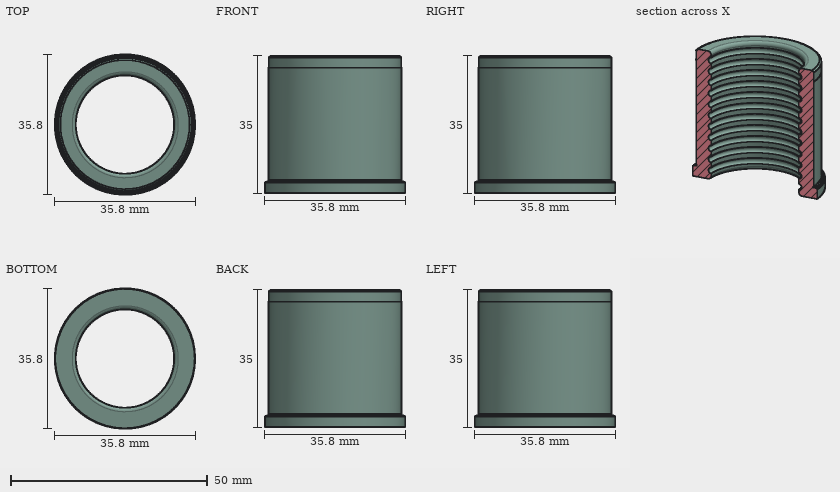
import cadquery as cq

height = 35.0
collar_radius = 17.9
collar_height = 3.0
collar_chamfer = 0.3
collar_base_chamfer = 0.18
body_radius = 16.97
lead_radius = 16.95
lead_height = 3.0
lead_chamfer = 0.5
undercut_depth = 0.32
undercut_height = 0.43
seat_radius = 17.33
seat_rise = 0.07
bore_radius = 12.5
mouth_round = 1.0
groove_count = 11
groove_pitch = 3.0
groove_radius = 0.8


def outer_body():
    """Revolve the stepped outside as a solid without its bore."""
    undercut_radius = body_radius - undercut_depth
    profile = (
        cq.Workplane("XZ")
        .lineTo(collar_radius - collar_base_chamfer, 0)
        .lineTo(collar_radius, collar_base_chamfer)
        .lineTo(collar_radius, collar_height - collar_chamfer)
        .lineTo(collar_radius - collar_chamfer, collar_height)
        .lineTo(seat_radius, collar_height)
        .lineTo(seat_radius, collar_height + seat_rise)
        .lineTo(undercut_radius, collar_height + seat_rise)
        .lineTo(body_radius, collar_height + undercut_height)
        .lineTo(body_radius, height - lead_height)
        .lineTo(lead_radius, height - lead_height)
        .lineTo(lead_radius, height - lead_chamfer)
        .lineTo(lead_radius - lead_chamfer, height)
        .lineTo(0, height)
        .close()
    )
    return profile.revolve(360, (0, 0, 0), (0, 1, 0))


def bore():
    """Revolve the through bore with its rounded mouths and ring grooves."""
    mouth_radius = bore_radius + mouth_round
    first_groove = (height - (groove_count - 1) * groove_pitch) / 2
    profile = (
        cq.Workplane("XZ")
        .lineTo(mouth_radius, 0)
        .radiusArc((bore_radius, mouth_round), mouth_round)
    )
    for index in range(groove_count):
        centre = first_groove + index * groove_pitch
        profile = profile.lineTo(bore_radius, centre - groove_radius).threePointArc(
            (bore_radius + groove_radius, centre),
            (bore_radius, centre + groove_radius),
        )
    profile = (
        profile.lineTo(bore_radius, height - mouth_round)
        .radiusArc((mouth_radius, height), mouth_round)
        .lineTo(0, height)
        .close()
    )
    return profile.revolve(360, (0, 0, 0), (0, 1, 0))


result = outer_body().cut(bore())